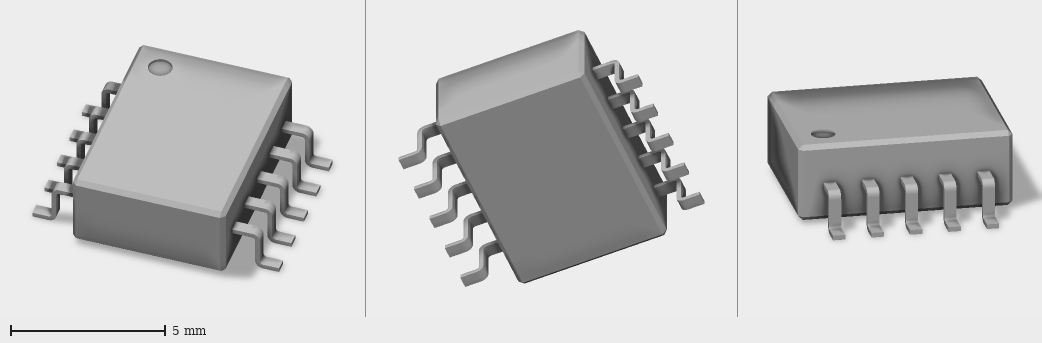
import cadquery as cq

LEAD_SPAN = 8.42
HOUSING_LENGTH = 7.08
OVERALL_HEIGHT = 2.7

HOUSING_WIDTH = 5.22
STANDOFF = 0.1
EDGE_CHAMFER = 0.15
HOUSING_HEIGHT = OVERALL_HEIGHT - STANDOFF

LEAD_COUNT = 5
LEAD_PITCH = 1.27
LEAD_WIDTH = 0.4
LEAD_THICKNESS = 0.16
LEAD_TOP = 1.41
FOOT_REACH = 0.66
BEND_INNER_RADIUS = 0.1
BEND_OUTER_RADIUS = BEND_INNER_RADIUS + LEAD_THICKNESS
LEG_OUTER_X = LEAD_SPAN / 2 - FOOT_REACH
LEG_INNER_X = LEG_OUTER_X - LEAD_THICKNESS

MARKER_DIAMETER = 0.8
MARKER_INSET = 1.0
MARKER_DEPTH = 0.1
MARKER_THICKNESS = 0.1
MARKER_X = MARKER_INSET - HOUSING_WIDTH / 2
MARKER_Y = HOUSING_LENGTH / 2 - MARKER_INSET


def make_lead(y):
    """A gull-wing strip centred on y, with a foot at both ends."""
    toe_x = LEAD_SPAN / 2
    upper_run_bottom = LEAD_TOP - LEAD_THICKNESS
    half_section = (
        cq.Workplane("XZ", origin=(0, y, 0))
        .moveTo(0, LEAD_TOP)
        .lineTo(LEG_OUTER_X - BEND_OUTER_RADIUS, LEAD_TOP)
        .radiusArc((LEG_OUTER_X, LEAD_TOP - BEND_OUTER_RADIUS), BEND_OUTER_RADIUS)
        .lineTo(LEG_OUTER_X, BEND_OUTER_RADIUS)
        .radiusArc((LEG_OUTER_X + BEND_INNER_RADIUS, LEAD_THICKNESS), -BEND_INNER_RADIUS)
        .lineTo(toe_x, LEAD_THICKNESS)
        .lineTo(toe_x, 0)
        .lineTo(LEG_INNER_X + BEND_OUTER_RADIUS, 0)
        .radiusArc((LEG_INNER_X, BEND_OUTER_RADIUS), BEND_OUTER_RADIUS)
        .lineTo(LEG_INNER_X, upper_run_bottom - BEND_INNER_RADIUS)
        .radiusArc((LEG_INNER_X - BEND_INNER_RADIUS, upper_run_bottom), -BEND_INNER_RADIUS)
        .lineTo(0, upper_run_bottom)
        .close()
    )
    half_lead = half_section.extrude(LEAD_WIDTH / 2, both=True)
    return half_lead.union(half_lead.mirror("YZ")).clean()


def make_marker():
    """The pin 1 disc, with its top face below the housing top."""
    bottom = OVERALL_HEIGHT - MARKER_DEPTH - MARKER_THICKNESS
    return (
        cq.Workplane("XY", origin=(MARKER_X, MARKER_Y, bottom))
        .circle(MARKER_DIAMETER / 2)
        .extrude(MARKER_THICKNESS)
    )


def make_housing(leads):
    """A block with all edges chamfered, a marker recess and a slot for each lead."""
    block = (
        cq.Workplane("XY", origin=(0, 0, STANDOFF))
        .box(HOUSING_WIDTH, HOUSING_LENGTH, HOUSING_HEIGHT, centered=(True, True, False))
        .edges()
        .chamfer(EDGE_CHAMFER)
    )
    recess = (
        cq.Workplane("XY", origin=(MARKER_X, MARKER_Y, OVERALL_HEIGHT))
        .circle(MARKER_DIAMETER / 2)
        .extrude(-(MARKER_DEPTH + MARKER_THICKNESS))
    )
    housing = block.cut(recess)
    for lead in leads:
        housing = housing.cut(lead)
    return housing


leads = []
for index in range(LEAD_COUNT):
    leads.append(make_lead((index - (LEAD_COUNT - 1) / 2) * LEAD_PITCH))
marker = make_marker()
housing = make_housing(leads)

result = cq.Compound.makeCompound([housing.val(), marker.val(), *[lead.val() for lead in leads]])